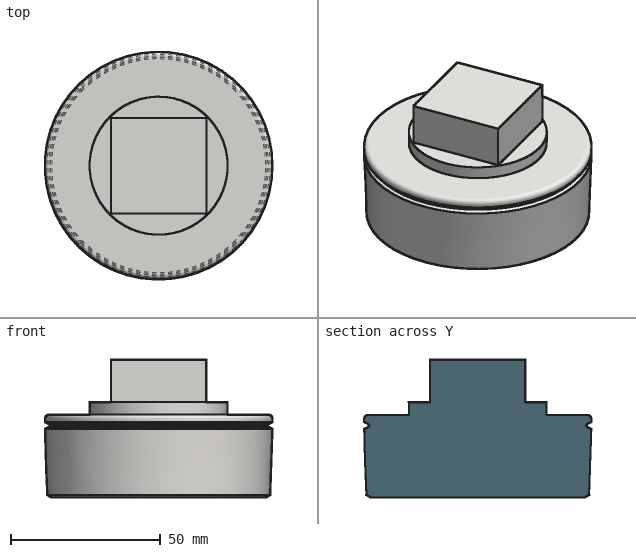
import cadquery as cq

total_height = 46.0
rim_top = 27.7
collar_top = 31.9

rim_radius = 38.0
body_bottom_radius = 37.2
bottom_face_radius = 35.7
bottom_chamfer_height = 0.9
rim_fillet = 1.5

groove_center = 24.1
groove_half_width = 1.15
root_half_width = 0.45
wall_end_radius = 36.6
root_radius = 36.15

collar_diameter = 46.0
head_side = 31.9


def make_body():
    """Revolve the tapered body, including its groove and rounded rim."""
    rim_shoulder = rim_radius - rim_fillet
    profile = (
        cq.Workplane("XZ")
        .lineTo(bottom_face_radius, 0)
        .lineTo(body_bottom_radius, bottom_chamfer_height)
        .lineTo(rim_radius, groove_center - groove_half_width)
        .lineTo(wall_end_radius, groove_center - root_half_width)
        .lineTo(root_radius, groove_center)
        .lineTo(wall_end_radius, groove_center + root_half_width)
        .lineTo(rim_radius, groove_center + groove_half_width)
        .lineTo(rim_radius, rim_top - rim_fillet)
        .radiusArc((rim_shoulder, rim_top), -rim_fillet)
        .lineTo(0, rim_top)
        .close()
    )
    return profile.revolve(360, (0, 0), (0, 1))


def make_collar():
    """Round collar standing on the rim."""
    height = collar_top - rim_top
    return cq.Workplane("XY", origin=(0, 0, rim_top)).circle(collar_diameter / 2).extrude(height)


def make_head():
    """Square wrench head standing on the collar."""
    height = total_height - collar_top
    return cq.Workplane("XY", origin=(0, 0, collar_top)).rect(head_side, head_side).extrude(height)


result = make_body().union(make_collar()).union(make_head())